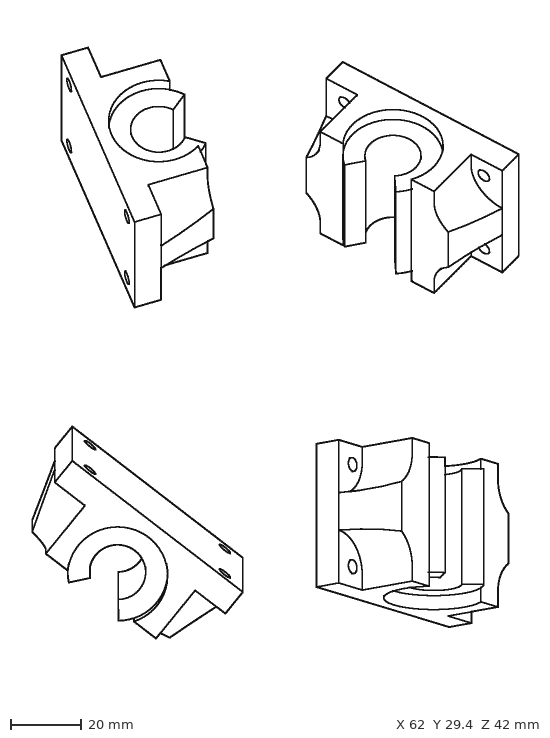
import cadquery as cq
import math

width = 62.0
height = 42.0
plate_thickness = 8.05

block_front = 26.05
block_front_width = 50.0

scallop_radius = 11.0
scallop_inset = 4.5

axis_y = 18.35
ring_outer_radius = 14.25
ring_inner_radius = 8.0
ring_length = 33.8
opening_half_angle = 39.3

hole_diameter = 3.95
hole_spacing_x = 49.0
hole_spacing_z = 29.95


def along_z(length):
    """Workplane normal to Z whose extrusion is centred on the XY plane."""
    return cq.Workplane("XY").workplane(offset=-length / 2)


def make_block():
    outline = [
        (-width / 2, plate_thickness),
        (width / 2, plate_thickness),
        (block_front_width / 2, block_front),
        (-block_front_width / 2, block_front),
    ]
    return along_z(height).polyline(outline).close().extrude(height)


def make_scallop(side, end):
    """Cutter at one block corner: a cylinder along Y, opened straight out to the end face."""
    depth = block_front - plate_thickness
    centre_z = end * (height / 2 - scallop_inset)
    plane = cq.Workplane("XZ", origin=(side * width / 2, block_front, centre_z))
    cylinder = plane.circle(scallop_radius).extrude(depth)
    slot = plane.center(0, end * scallop_inset / 2).rect(2 * scallop_radius, scallop_inset).extrude(depth)
    return cylinder.union(slot)


def make_opening():
    """Wedge from the ring axis that opens the ring toward +Y."""
    reach = 2 * ring_outer_radius
    half_width = reach * math.tan(math.radians(opening_half_angle))
    outline = [(0, axis_y), (half_width, axis_y + reach), (-half_width, axis_y + reach)]
    return along_z(height).polyline(outline).close().extrude(height)


def make_ring():
    ring = (
        along_z(ring_length)
        .center(0, axis_y)
        .circle(ring_outer_radius)
        .circle(ring_inner_radius)
        .extrude(ring_length)
    )
    return ring.cut(make_opening())


plate = cq.Workplane("XY").box(width, plate_thickness, height, centered=(True, False, True))

block = make_block()
for side in (-1, 1):
    for end in (-1, 1):
        block = block.cut(make_scallop(side, end))

bore = along_z(height).center(0, axis_y).circle(ring_outer_radius).extrude(height)

mounting_holes = (
    cq.Workplane("XZ", origin=(0, plate_thickness, 0))
    .rect(hole_spacing_x, hole_spacing_z, forConstruction=True)
    .vertices()
    .circle(hole_diameter / 2)
    .extrude(plate_thickness)
)

result = plate.union(block).cut(bore).union(make_ring()).cut(mounting_holes)